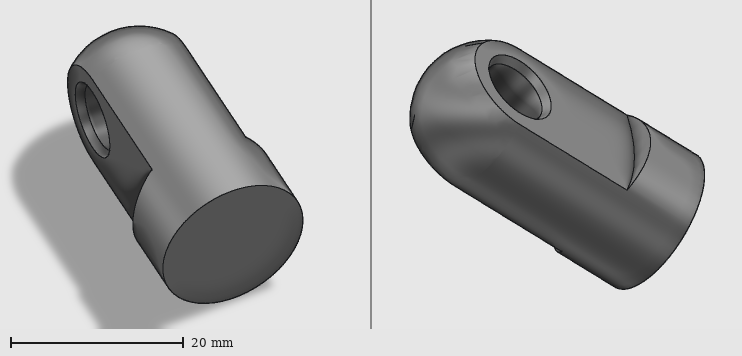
import cadquery as cq

length = 34.0
diameter = 18.0
flat_thickness = 12.0
hole_diameter = 8.1
countersink_width = 0.58
countersink_depth = 1.0
shoulder_radius = 20.85
shoulder_x = 25.98

radius = diameter / 2
hole_x = radius
half_thickness = flat_thickness / 2


def y_cylinder(x, cylinder_diameter, y_start, y_end):
    """Cylinder parallel to Y between two Y positions."""
    return (
        cq.Workplane("XZ", origin=(x, y_start, 0))
        .circle(cylinder_diameter / 2)
        .extrude(y_start - y_end)
    )


rod = (
    cq.Workplane("YZ", origin=(radius, 0, 0))
    .circle(radius)
    .extrude(length - radius)
    .union(cq.Workplane("XY", origin=(radius, 0, 0)).sphere(radius))
)

shoulder_center_x = shoulder_x - shoulder_radius
body = rod
for side in (-1, 1):
    flat_cut = y_cylinder(shoulder_center_x, 2 * shoulder_radius, side * half_thickness, side * radius)
    body = body.cut(flat_cut)

body = body.cut(y_cylinder(hole_x, hole_diameter, -half_thickness, half_thickness))
hole_radius = hole_diameter / 2
for side in (-1, 1):
    countersink = cq.Solid.makeCone(
        hole_radius + countersink_width,
        hole_radius,
        countersink_depth,
        pnt=cq.Vector(hole_x, side * half_thickness, 0),
        dir=cq.Vector(0, -side, 0),
    )
    body = body.cut(cq.Workplane(countersink))

result = body